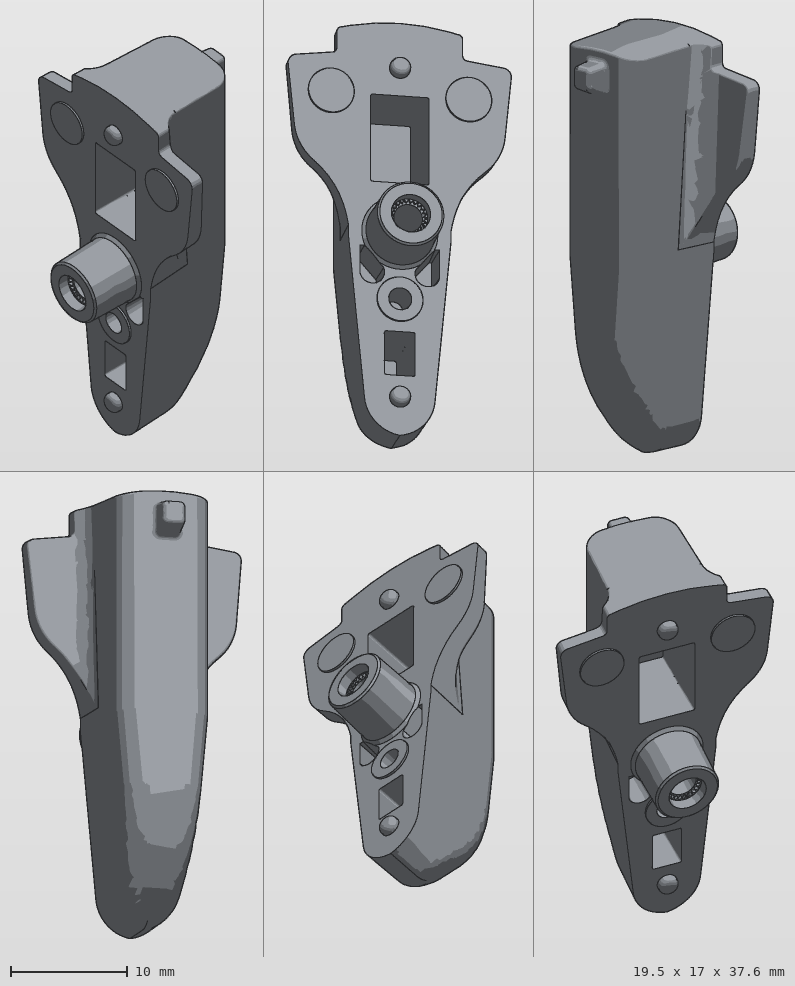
import cadquery as cq
import math

DRAFT = 2.0
CLEARANCE = 1.0

HOUSING_DEPTH = 10.0
TOP_Z = 19.12
BOTTOM_Z = -18.47
TOP_ARC_RADIUS = 19.5
HOUSING_HALF_WIDTH = 4.48
TAPER_START_Z = -0.5
NOSE_START = (3.08, -15.24)
BACK_CURVE_RADIUS = 13.3
BACK_CURVE_START_Z = -6.69
BACK_CURVE_ANGLE = 40.5
BACK_EDGE_RADIUS = 2.0
TOP_BACK_RADIUS = 0.25

TAB_HALF_WIDTH = 5.49
TAB_CORNER_RADIUS = 0.45
SHOULDER_Z = 16.15
SHOULDER_TIP = (9.815, 15.58)
SHOULDER_RADIUS = 0.8
WING_SIDE_END = (9.2, 9.3)
WING_LOWER_END = (7.5, 6.1)
WAIST_END = (4.97, 2.44)
WAIST_TAIL_Z = 0.45
WING_BLANK_DEPTH = 5.0
WING_RIM_RADIUS = 0.2
WING_TOP_Z = 19.5
WING_TOP_THICKNESS = 1.05
WING_TOP_FILLET = 1.85
WING_LOW_Z = 0.0
WING_LOW_THICKNESS = 2.3
WING_LOW_FILLET = 2.15
WING_ROOT_HALF_WIDTH = 4.36

BOSS_LENGTH = 5.0
BOSS_BASE_RADIUS = 3.02
BOSS_TIP_RADIUS = 2.9
BOSS_FLARE = 0.3
BOSS_TIP_CHAMFER = 0.18
BORE_RADIUS = 1.7
BORE_STEP_DEPTH = 1.0
TOOTH_ROOT_RADIUS = 1.65
TOOTH_TIP_RADIUS = 1.35
TOOTH_COUNT = 24
TOOTH_LENGTH = 0.3
BORE_CONE_RADIUS = 1.25
BORE_FLOOR_RADIUS = 0.88
BORE_FLOOR_Y = 2.0

PAD_RADIUS = 2.0
PAD_HEIGHT = 0.2
PAD_X = 6.0
PAD_Z = 12.55
HOLE_PAD_Z = -6.08
HOLE_RADIUS = 1.0
HOLE_FLOOR_RADIUS = 0.85
HOLE_DEPTH = 3.0
FOOT_RADIUS = 0.9
FOOT_HEIGHT = 0.8
FOOT_ROUND = 0.55
FOOT_Z = 15.0
POCKET_DEPTH = 7.0
POCKET_CORNER_RADIUS = 0.2
UPPER_POCKET_MOUTH = (2.55, 4.55, 12.5)
UPPER_POCKET_FLOOR = (2.32, 4.68, 12.38)
LOWER_POCKET_MOUTH = (1.34, -13.0, -9.0)
LOWER_POCKET_FLOOR = (1.08, -12.77, -9.12)
SIDE_POCKET_OUTER_X = 3.48
SIDE_POCKET_TOP_Z = -1.32
SIDE_POCKET_TOP_INNER_X = 3.08
SIDE_POCKET_ARC_Z = -3.9
SIDE_POCKET_ARC_MID = (2.25, -4.73)
SIDE_POCKET_ARC_END = (1.4, -3.25)
SIDE_POCKET_DEPTH = 3.0
SIDE_POCKET_DRAFT = 2.0

KEY_TIP_Y = 12.0
KEY_HALF_WIDTH = 1.08
KEY_TIP_HALF_WIDTH = 0.98
KEY_ROOT_Z = (14.7, 17.7)
KEY_TIP_Z = (15.6, 17.5)
KEY_CORNER_RADIUS = 0.45
KEY_TIP_ROUND = 0.4
KEY_FLARE = 0.4


def face_plane(y):
    """Plane facing +Y with local y along Z; local x is mirrored."""
    return cq.Workplane(cq.Plane(origin=(0, y, 0), xDir=(-1, 0, 0), normal=(0, 1, 0)))


def top_arc_z(x):
    return TOP_Z - TOP_ARC_RADIUS + math.sqrt(TOP_ARC_RADIUS**2 - x**2)


def flat_loft(first, last):
    """Solid with straight walls between two wires."""
    return cq.Workplane(cq.Solid.makeLoft([first, last], True))


def symmetric_outline(start, steps):
    """Closed outline from its half at x >= 0: from start on the top arc, each step is a line
    (end,) or an arc (middle, end). The mirrored half follows and the top arc closes it."""
    def mirrored(point):
        return (-point[0], point[1])

    outline = face_plane(0).moveTo(*start)
    corners = [start] + [step[-1] for step in steps]
    for step in steps:
        outline = outline.lineTo(*step[0]) if len(step) == 1 else outline.threePointArc(*step)
    if corners[-1][0] > 0:
        outline = outline.lineTo(*mirrored(corners[-1]))
    for step, end in zip(reversed(steps), reversed(corners[:-1])):
        if len(step) == 1:
            outline = outline.lineTo(*mirrored(end))
        else:
            outline = outline.threePointArc(mirrored(step[0]), mirrored(end))
    return outline.threePointArc((0, TOP_Z), start).close()


def heading_between(start, end):
    return math.atan2(end[1] - start[1], end[0] - start[0])


def tangent_arcs(before, start, ends):
    """Outline steps: arcs through the given ends, carrying on smoothly from the line before-start."""
    heading = heading_between(before, start)
    steps = []
    for end in ends:
        turn = 2 * math.remainder(heading_between(start, end) - heading, 2 * math.pi)
        reach = math.dist(start, end) / (2 * math.cos(turn / 4))
        middle_heading = heading + turn / 4
        middle = (start[0] + reach * math.cos(middle_heading),
                  start[1] + reach * math.sin(middle_heading))
        steps.append((middle, end))
        heading += turn
        start = end
    return steps


def rounded_corner(before, corner, after, radius):
    """Outline steps: a line to the round, then the round that replaces the corner."""
    into = heading_between(before, corner)
    away = heading_between(corner, after)
    turn = math.remainder(away - into, 2 * math.pi)
    setback = radius * math.tan(abs(turn) / 2)
    start = (corner[0] - setback * math.cos(into), corner[1] - setback * math.sin(into))
    end = (corner[0] + setback * math.cos(away), corner[1] + setback * math.sin(away))
    return [(start,)] + tangent_arcs(before, start, [end])


def fillet_near(body, points, radius):
    """Round the edge nearest to each of the given points."""
    edges = []
    for point in points:
        vertex = cq.Vertex.makeVertex(*point)
        edges.append(min(body.edges().vals(), key=lambda edge: edge.distance(vertex)))
    return body.newObject(edges).fillet(radius)


def make_housing():
    start = (HOUSING_HALF_WIDTH, top_arc_z(HOUSING_HALF_WIDTH))
    taper_start = (HOUSING_HALF_WIDTH, TAPER_START_Z)
    steps = [
        (taper_start,),
        (NOSE_START,),
    ]
    steps += tangent_arcs(taper_start, NOSE_START, [(0, BOTTOM_Z)])
    housing = symmetric_outline(start, steps).extrude(HOUSING_DEPTH, taper=DRAFT)

    turn = math.radians(BACK_CURVE_ANGLE)
    center_y = HOUSING_DEPTH - BACK_CURVE_RADIUS

    def on_arc(angle):
        return (center_y + BACK_CURVE_RADIUS * math.cos(angle),
                BACK_CURVE_START_Z - BACK_CURVE_RADIUS * math.sin(angle))

    arc_end = on_arc(turn)
    clear_z = BOTTOM_Z - CLEARANCE
    clear_y = HOUSING_DEPTH + CLEARANCE
    line_end_y = arc_end[0] - (arc_end[1] - clear_z) * math.tan(turn)
    scoop = (
        cq.Workplane("YZ")
        .moveTo(HOUSING_DEPTH, BACK_CURVE_START_Z)
        .threePointArc(on_arc(turn / 2), arc_end)
        .lineTo(line_end_y, clear_z)
        .lineTo(clear_y, clear_z)
        .lineTo(clear_y, BACK_CURVE_START_Z)
        .close()
        .extrude(HOUSING_HALF_WIDTH + CLEARANCE, both=True)
    )
    housing = housing.cut(scoop)

    back_corner_x = HOUSING_HALF_WIDTH - HOUSING_DEPTH * math.tan(math.radians(DRAFT))
    straight_mid_z = (TOP_Z + TAPER_START_Z) / 2
    back_edges = [(side * back_corner_x, HOUSING_DEPTH, straight_mid_z) for side in (1, -1)]
    housing = fillet_near(housing, back_edges, BACK_EDGE_RADIUS)
    return fillet_near(housing, [(0, HOUSING_DEPTH, TOP_Z)], TOP_BACK_RADIUS)


def wing_section(z, thickness, fillet_radius):
    """Section of the space under the wings' back surface, flared up to the housing walls."""
    wall_y = thickness + fillet_radius
    fillet_end_x = WING_ROOT_HALF_WIDTH + fillet_radius
    diagonal = fillet_radius * (1 - math.sqrt(0.5))
    outer_x = SHOULDER_TIP[0] + CLEARANCE
    front_y = -CLEARANCE
    section = cq.Workplane("XY", origin=(0, 0, z)).moveTo(-outer_x, front_y).lineTo(outer_x, front_y)
    return (
        section.lineTo(outer_x, thickness)
        .lineTo(fillet_end_x, thickness)
        .threePointArc(
            (WING_ROOT_HALF_WIDTH + diagonal, thickness + diagonal),
            (WING_ROOT_HALF_WIDTH, wall_y),
        )
        .lineTo(-WING_ROOT_HALF_WIDTH, wall_y)
        .threePointArc(
            (-WING_ROOT_HALF_WIDTH - diagonal, thickness + diagonal),
            (-fillet_end_x, thickness),
        )
        .lineTo(-outer_x, thickness)
        .close()
        .wire()
        .val()
    )


def make_wings():
    tab_start = (TAB_HALF_WIDTH - TAB_CORNER_RADIUS, top_arc_z(TAB_HALF_WIDTH - TAB_CORNER_RADIUS))
    tab_side = (TAB_HALF_WIDTH, tab_start[1] - TAB_CORNER_RADIUS)
    inner_corner = (TAB_HALF_WIDTH, SHOULDER_Z)
    diagonal = TAB_CORNER_RADIUS * math.sqrt(0.5)
    tab_round_mid = (tab_start[0] + diagonal, tab_side[1] + diagonal)
    waist_tail_end = (HOUSING_HALF_WIDTH, WAIST_TAIL_Z)
    steps = [(tab_round_mid, tab_side)]
    steps += rounded_corner(tab_side, inner_corner, SHOULDER_TIP, TAB_CORNER_RADIUS)
    steps += rounded_corner(inner_corner, SHOULDER_TIP, WING_SIDE_END, SHOULDER_RADIUS)
    steps.append((WING_SIDE_END,))
    steps += tangent_arcs(SHOULDER_TIP, WING_SIDE_END, [WING_LOWER_END, WAIST_END, waist_tail_end])
    wings = symmetric_outline(tab_start, steps).extrude(WING_BLANK_DEPTH, taper=DRAFT)

    upper = wing_section(WING_TOP_Z, WING_TOP_THICKNESS, WING_TOP_FILLET)
    lower = wing_section(WING_LOW_Z, WING_LOW_THICKNESS, WING_LOW_FILLET)
    wings = wings.intersect(flat_loft(lower, upper))
    side_mid = ((SHOULDER_TIP[0] + WING_SIDE_END[0]) / 2, (SHOULDER_TIP[1] + WING_SIDE_END[1]) / 2)
    rim_y = (WING_TOP_THICKNESS + WING_LOW_THICKNESS) / 2
    rims = [(side * side_mid[0], rim_y, side_mid[1]) for side in (1, -1)]
    return fillet_near(wings, rims, WING_RIM_RADIUS)


def make_boss():
    half = [
        (0, 0),
        (BOSS_BASE_RADIUS + BOSS_FLARE, 0),
        (BOSS_BASE_RADIUS, -BOSS_FLARE),
        (BOSS_TIP_RADIUS, BOSS_TIP_CHAMFER - BOSS_LENGTH),
        (BOSS_TIP_RADIUS - BOSS_TIP_CHAMFER, -BOSS_LENGTH),
        (0, -BOSS_LENGTH),
    ]
    return cq.Workplane("XY").polyline(half).close().revolve(360, (0, 0, 0), (0, 1, 0))


def cone(center_z, y_start, radius_start, y_end, radius_end):
    """Round body along +Y from y_start to y_end."""
    solid = cq.Solid.makeCone(
        radius_start, radius_end, y_end - y_start, cq.Vector(0, y_start, center_z), cq.Vector(0, 1, 0)
    )
    return cq.Workplane(solid)


def make_boss_bore():
    """Counterbore, a short ring of pointed teeth, then a tapering blind bore."""
    step_y = BORE_STEP_DEPTH - BOSS_LENGTH
    cone_y = step_y + TOOTH_LENGTH
    teeth = []
    for index in range(2 * TOOTH_COUNT):
        angle = math.pi * index / TOOTH_COUNT
        radius = TOOTH_TIP_RADIUS if index % 2 else TOOTH_ROOT_RADIUS
        teeth.append((radius * math.cos(angle), radius * math.sin(angle)))
    counterbore = cone(0, -BOSS_LENGTH, BORE_RADIUS, step_y, TOOTH_ROOT_RADIUS)
    tooth_ring = face_plane(step_y).polyline(teeth).close().extrude(TOOTH_LENGTH)
    bore = cone(0, cone_y, BORE_CONE_RADIUS, BORE_FLOOR_Y, BORE_FLOOR_RADIUS)
    return counterbore.union(tooth_ring).union(bore)


def make_foot(z):
    foot = face_plane(-FOOT_HEIGHT).center(0, z).circle(FOOT_RADIUS).extrude(FOOT_HEIGHT)
    return foot.faces("<Y").edges().fillet(FOOT_ROUND)


def make_pad(x, z):
    return face_plane(-PAD_HEIGHT).center(-x, z).circle(PAD_RADIUS).extrude(PAD_HEIGHT)


def rectangle(y, half_width, bottom, top):
    """Wire in the plane at y, centred on x = 0."""
    plane = face_plane(y).center(0, (bottom + top) / 2)
    return plane.rect(2 * half_width, top - bottom).wire().val()


def make_pocket(mouth, floor):
    """Rectangular pocket; mouth and floor are (half width, bottom z, top z)."""
    pocket = flat_loft(rectangle(0, *mouth), rectangle(POCKET_DEPTH, *floor))
    return pocket.edges("not #Y").fillet(POCKET_CORNER_RADIUS)


def make_side_pocket():
    """Pocket beside the boss on the +X side: straight outer wall, rounded foot, slanted inner wall."""
    pocket = (
        face_plane(-BOSS_FLARE)
        .moveTo(-SIDE_POCKET_OUTER_X, SIDE_POCKET_TOP_Z)
        .lineTo(-SIDE_POCKET_OUTER_X, SIDE_POCKET_ARC_Z)
        .threePointArc(
            (-SIDE_POCKET_ARC_MID[0], SIDE_POCKET_ARC_MID[1]),
            (-SIDE_POCKET_ARC_END[0], SIDE_POCKET_ARC_END[1]),
        )
        .lineTo(-SIDE_POCKET_TOP_INNER_X, SIDE_POCKET_TOP_Z)
        .close()
    )
    return pocket.extrude(BOSS_FLARE + SIDE_POCKET_DEPTH, taper=SIDE_POCKET_DRAFT)


def make_key():
    """Locating key on the back; it narrows to the tip and its underside slopes."""
    root = rectangle(HOUSING_DEPTH, KEY_HALF_WIDTH, *KEY_ROOT_Z)
    tip = rectangle(KEY_TIP_Y, KEY_TIP_HALF_WIDTH, *KEY_TIP_Z)
    key = flat_loft(root, tip)
    key = key.edges("not #Y").fillet(KEY_CORNER_RADIUS)
    return key.faces(">Y").edges().fillet(KEY_TIP_ROUND)


body = make_housing().union(make_wings())
body = body.union(make_key())
body = fillet_near(body, [(0, HOUSING_DEPTH, KEY_ROOT_Z[0])], KEY_FLARE)
body = body.union(make_boss())
for side in (1, -1):
    body = body.union(make_pad(side * PAD_X, PAD_Z))
    body = body.union(make_foot(side * FOOT_Z))
side_pocket = make_side_pocket()
body = body.cut(side_pocket).cut(side_pocket.mirror("YZ"))
body = body.union(make_pad(0, HOLE_PAD_Z))
body = body.cut(cone(HOLE_PAD_Z, -PAD_HEIGHT, HOLE_RADIUS, HOLE_DEPTH, HOLE_FLOOR_RADIUS))
body = body.cut(make_pocket(UPPER_POCKET_MOUTH, UPPER_POCKET_FLOOR))
body = body.cut(make_pocket(LOWER_POCKET_MOUTH, LOWER_POCKET_FLOOR))
result = body.cut(make_boss_bore())